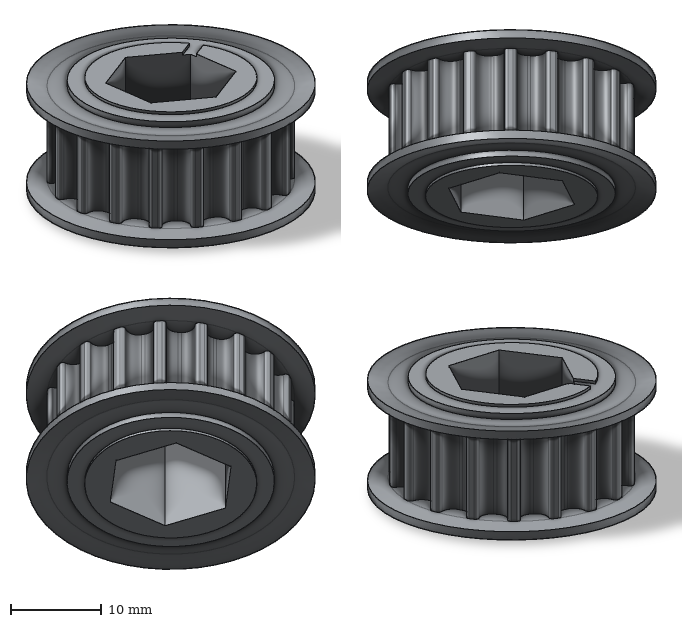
import cadquery as cq
import math

tooth_count = 18
first_groove_angle = -90
tooth_tip_radius = 13.73
tooth_length = 10.25
tooth_half_length = tooth_length / 2

groove_depth = 2.08
groove_arc_radius = 1.4
groove_floor_width = 0.4
groove_half_width = groove_floor_width / 2 + groove_arc_radius
groove_floor_radius = tooth_tip_radius - groove_depth
groove_overrun = 0.65
tooth_tip_fillet = 0.45
tip_corner_tolerance = 0.03

hub_radius = 11.5
hub_length = 13.63
end_boss_radius = 9.55
overall_length = 14.3
end_boss_height = (overall_length - hub_length) / 2

hex_across_flats = 12.8
hex_corner_radius = hex_across_flats / math.sqrt(3)

notch_width = 1.6

flange_radius = 16.0
flange_thickness = 1.0
rim_rise = 0.35


def groove_cutter(angle):
    """One belt groove along the full toothed length, pointing to the given angle from +X."""
    floor_half = groove_floor_width / 2
    arc_center_radius = groove_floor_radius + groove_arc_radius
    arc_mid = groove_arc_radius * math.sqrt(0.5)
    mouth_radius = tooth_tip_radius + groove_overrun
    profile = (
        cq.Workplane("XY", origin=(0, 0, -tooth_half_length))
        .moveTo(mouth_radius, -groove_half_width)
        .lineTo(arc_center_radius, -groove_half_width)
        .threePointArc(
            (arc_center_radius - arc_mid, -floor_half - arc_mid),
            (groove_floor_radius, -floor_half),
        )
        .lineTo(groove_floor_radius, floor_half)
        .threePointArc(
            (arc_center_radius - arc_mid, floor_half + arc_mid),
            (arc_center_radius, groove_half_width),
        )
        .lineTo(mouth_radius, groove_half_width)
        .close()
    )
    return profile.extrude(tooth_length).rotate((0, 0, 0), (0, 0, 1), angle)


def toothed_ring():
    """The toothed cylinder, with one groove centred on -Y and rounded tooth tips."""
    teeth = (
        cq.Workplane("XY")
        .circle(tooth_tip_radius)
        .extrude(tooth_half_length, both=True)
        .rotate((0, 0, 0), (0, 0, 1), first_groove_angle)
    )
    for index in range(tooth_count):
        teeth = teeth.cut(groove_cutter(first_groove_angle + index * 360 / tooth_count))
    smallest_corner_radius = tooth_tip_radius - tip_corner_tolerance
    tip_corners = teeth.edges("|Z").filter(
        lambda edge: math.hypot(edge.Center().x, edge.Center().y) > smallest_corner_radius
    )
    return teeth.newObject(tip_corners.vals()).fillet(tooth_tip_fillet)


def make_pulley():
    """Toothed ring and stepped hub in one piece, with the hexagonal bore and the notch."""
    hub = cq.Workplane("XY").circle(hub_radius).extrude(hub_length / 2, both=True)
    end_bosses = cq.Workplane("XY").circle(end_boss_radius).extrude(overall_length / 2, both=True)
    hex_bore = (
        cq.Workplane("XY")
        .polygon(6, 2 * hex_corner_radius)
        .extrude(overall_length, both=True)
        .rotate((0, 0, 0), (0, 0, 1), 90)
    )
    notch = cq.Workplane("XY", origin=(0, 0, hub_length / 2)).box(
        notch_width, hub_radius, end_boss_height, centered=(True, False, False)
    )
    return toothed_ring().union(hub).union(end_bosses).cut(hex_bore).cut(notch)


def make_flange(side):
    """One dished flange resting on the ends of the teeth; side is +1 for the top, -1 for the bottom."""
    inner_z = tooth_half_length
    outer_z = inner_z + flange_thickness
    section = [
        (hub_radius, inner_z),
        (tooth_tip_radius, inner_z),
        (flange_radius, inner_z + rim_rise),
        (flange_radius, outer_z + rim_rise),
        (tooth_tip_radius, outer_z),
        (hub_radius, outer_z),
    ]
    return (
        cq.Workplane("XZ")
        .polyline([(radius, side * z) for radius, z in section])
        .close()
        .revolve(360, (0, 0, 0), (0, 1, 0))
    )


pulley = make_pulley()
flanges = [make_flange(side) for side in (1, -1)]

result = cq.Compound.makeCompound([pulley.solids().val(), *[flange.val() for flange in flanges]])